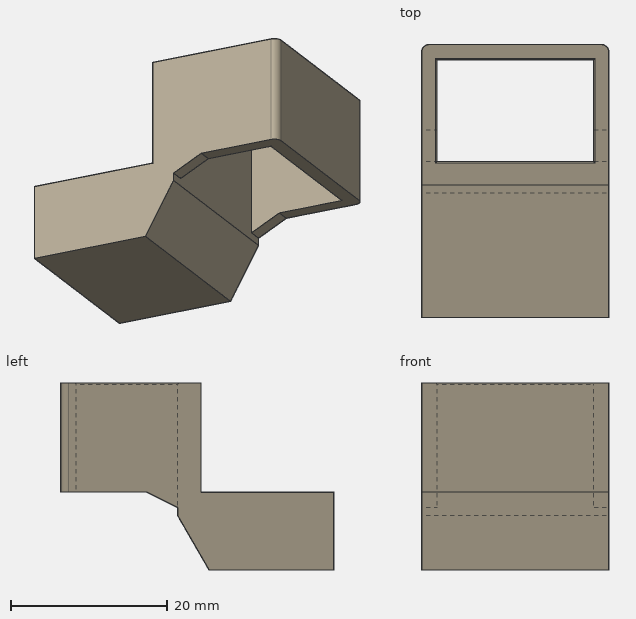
import cadquery as cq
import math

width = 24.0
length = 35.0
height = 24.0

foot_height = 10.0
frame_depth = 18.0
frame_corner_radius = 0.98

side_wall = 2.0
back_wall = 2.0
front_wall = 3.0
window_chamfer = 0.2

slope_start_from_back = 11.0
slope_drop = 2.0
undercut_drop = 3.0
undercut_angle = 60.0

frame_front = length - frame_depth
window_front = frame_front + front_wall
undercut_top = foot_height - undercut_drop
foot_back = window_front - undercut_top / math.tan(math.radians(undercut_angle))


def make_body():
    """Extrude the stepped side profile across the width and round the back corners."""
    profile = [
        (0, 0),
        (foot_back, 0),
        (window_front, undercut_top),
        (window_front, foot_height - slope_drop),
        (length - slope_start_from_back, foot_height),
        (length, foot_height),
        (length, height),
        (frame_front, height),
        (frame_front, foot_height),
        (0, foot_height),
    ]
    body = cq.Workplane("YZ").polyline(profile).close().extrude(width / 2, both=True)
    return body.faces(">Y").edges("|Z").fillet(frame_corner_radius)


def make_window():
    """Cutter for the through window, flared at its top rim."""
    window_width = width - 2 * side_wall
    window_depth = frame_depth - front_wall - back_wall
    window_center = window_front + window_depth / 2
    opening = (
        cq.Workplane("XY")
        .center(0, window_center)
        .rect(window_width, window_depth)
        .extrude(height)
    )
    rim = (
        cq.Workplane("XY", origin=(0, window_center, height))
        .rect(window_width + 2 * window_chamfer, window_depth + 2 * window_chamfer)
        .workplane(offset=-window_chamfer)
        .rect(window_width, window_depth)
        .loft()
    )
    return opening.union(rim)


result = make_body().cut(make_window())